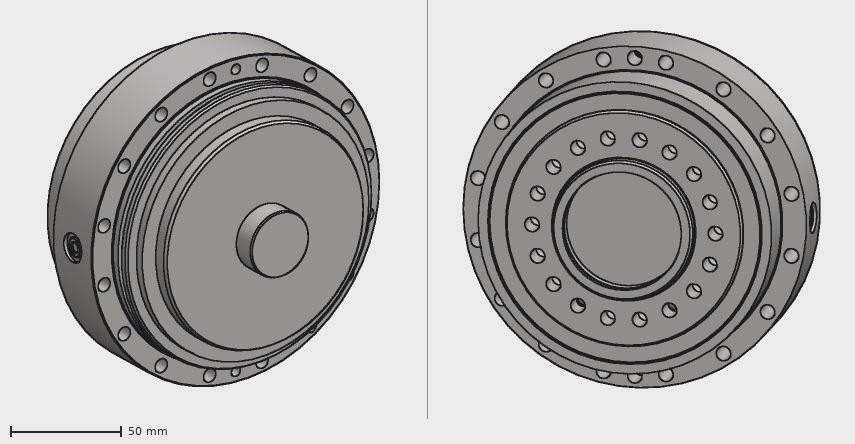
import cadquery as cq
import math

boss_front = -46.7
hub_front = boss_front + 4.0
housing_front = boss_front + 6.4
flange_front = boss_front + 27.8
flange_back = boss_front + 58.2
groove_front = boss_front + 62.5
groove_back = boss_front + 65.2
housing_back = boss_front + 69.2
step_back = boss_front + 73.8
cover_back = boss_front + 81.5
shaft_end = boss_front + 93.5

boss_diameter = 65.0
hub_diameter = 110.0
housing_diameter = 136.0
neck_diameter = 137.0
flange_diameter = 159.0
seal_groove_diameter = 131.5
step_diameter = 125.0
shaft_diameter = 32.0

neck_width = 0.5
hub_chamfer_length = 1.6
hub_chamfer_height = 1.0
housing_chamfer_length = 1.3
housing_chamfer_height = 0.8
flange_chamfer = 0.5
shaft_chamfer_length = 1.0
shaft_chamfer_height = 0.5

bore_diameter = 55.0
bore_depth = 9.0
ring_groove_diameter = 58.0
ring_groove_start = 2.9
ring_groove_width = 1.1

boss_relief_diameter = 66.8
boss_relief_depth = 1.5
face_groove_inner_diameter = 125.3
face_groove_outer_diameter = 126.9
face_groove_depth = 0.5

flange_hole_count = 16
flange_hole_diameter = 6.7
flange_hole_circle = 148.0
jack_hole_diameter = 5.0
jack_counterbore_diameter = 6.7
jack_counterbore_depth = 15.1

hub_hole_count = 18
hub_hole_diameter = 6.7
hub_hole_circle = 84.9
hub_hole_depth = 12.7
drill_point_angle = 118.0
pin_angles = (240.0, 300.0)
pin_diameter = 5.5
pin_circle = 83.6
pin_length = 3.2

port_diameter = 14.0
port_depth = 1.9
plug_diameter = 9.9
plug_height = 1.0
plug_chamfer = 0.6
socket_diameter = 5.0
socket_chamfer = 0.3
socket_depth = 1.0
socket_point_angle = 150.0


def cylinder(x_start, x_end, diameter):
    """Cylinder on the X axis."""
    return cq.Workplane("YZ", origin=(x_start, 0, 0)).circle(diameter / 2).extrude(x_end - x_start)


def ring(x_start, x_end, inner_diameter, outer_diameter):
    """Ring on the X axis."""
    return cylinder(x_start, x_end, outer_diameter).cut(cylinder(x_start, x_end, inner_diameter))


def cone(x_base, x_tip, base_diameter, tip_diameter=0.0):
    """Cone or frustum on the X axis."""
    profile = [(x_base, 0), (x_base, base_diameter / 2), (x_tip, tip_diameter / 2)]
    if tip_diameter > 0:
        profile.append((x_tip, 0))
    return cq.Workplane("XY").polyline(profile).close().revolve(360, (0, 0, 0), (1, 0, 0))


def point_length(diameter, point_angle=drill_point_angle):
    """Axial length of a conical point of the given diameter and full angle."""
    return diameter / 2 / math.tan(math.radians(point_angle / 2))


def on_circle(shape, circle_diameter, angle):
    """Move a shape from the X axis to an angle on a bolt circle, measured from +Y towards +Z."""
    radius = circle_diameter / 2
    a = math.radians(angle)
    return shape.translate((0, radius * math.cos(a), radius * math.sin(a)))


def turned_body():
    boss_radius = boss_diameter / 2
    hub_radius = hub_diameter / 2
    housing_radius = housing_diameter / 2
    neck_radius = neck_diameter / 2
    flange_radius = flange_diameter / 2
    seal_groove_radius = seal_groove_diameter / 2
    step_radius = step_diameter / 2
    shaft_radius = shaft_diameter / 2
    profile = [
        (boss_front, 0),
        (boss_front, boss_radius - hub_chamfer_height),
        (boss_front + hub_chamfer_length, boss_radius),
        (hub_front, boss_radius),
        (hub_front, hub_radius - hub_chamfer_height),
        (hub_front + hub_chamfer_length, hub_radius),
        (housing_front, hub_radius),
        (housing_front, housing_radius),
        (flange_front - neck_width, housing_radius),
        (flange_front - neck_width, neck_radius),
        (flange_front, neck_radius),
        (flange_front, flange_radius),
        (flange_back - flange_chamfer, flange_radius),
        (flange_back, flange_radius - flange_chamfer),
        (flange_back, neck_radius),
        (flange_back + neck_width, neck_radius),
        (flange_back + neck_width, housing_radius),
        (groove_front, housing_radius),
        (groove_front, seal_groove_radius),
        (groove_back, seal_groove_radius),
        (groove_back, housing_radius),
        (housing_back - housing_chamfer_length, housing_radius),
        (housing_back, housing_radius - housing_chamfer_height),
        (housing_back, step_radius),
        (step_back, step_radius),
        (step_back, hub_radius),
        (cover_back - hub_chamfer_length, hub_radius),
        (cover_back, hub_radius - hub_chamfer_height),
        (cover_back, shaft_radius),
        (shaft_end - shaft_chamfer_length, shaft_radius),
        (shaft_end, shaft_radius - shaft_chamfer_height),
        (shaft_end, 0),
    ]
    return cq.Workplane("XY").polyline(profile).close().revolve(360, (0, 0, 0), (1, 0, 0))


def front_bore():
    groove_start = boss_front + ring_groove_start
    bore = cylinder(boss_front, boss_front + bore_depth, bore_diameter)
    return bore.union(cylinder(groove_start, groove_start + ring_groove_width, ring_groove_diameter))


def boss_relief():
    """Countersunk ring where the boss leaves the hub face."""
    bottom = hub_front + boss_relief_depth
    countersink = cone(hub_front, bottom, boss_relief_diameter, boss_diameter)
    return countersink.cut(cylinder(hub_front, bottom, boss_diameter))


def face_groove():
    bottom = housing_front + face_groove_depth
    return ring(housing_front, bottom, face_groove_inner_diameter, face_groove_outer_diameter)


def jack_hole():
    """Through hole with a wider front length."""
    hole = cylinder(flange_front, flange_back, jack_hole_diameter)
    return hole.union(cylinder(flange_front, flange_front + jack_counterbore_depth, jack_counterbore_diameter))


def hub_hole():
    """Blind drilled hole with a conical end."""
    bottom = hub_front + hub_hole_depth
    hole = cylinder(hub_front, bottom, hub_hole_diameter)
    return hole.union(cone(bottom, bottom + point_length(hub_hole_diameter), hub_hole_diameter))


def pointed_pin():
    """Pin with a conical tip, standing in the end of a hub hole."""
    root = hub_front + hub_hole_depth + point_length(hub_hole_diameter)
    shoulder = root - pin_length
    pin = cylinder(shoulder, root, pin_diameter)
    return pin.union(cone(shoulder, shoulder - point_length(pin_diameter), pin_diameter))


def port_plane(distance):
    """Plane facing -Y at the middle of the flange, at a distance from the X axis."""
    return cq.Workplane("XZ", origin=((flange_front + flange_back) / 2, -distance, 0))


def add_port(body):
    """Spotface on the -Y side with a raised, socketed plug on its floor."""
    flange_radius = flange_diameter / 2
    floor = flange_radius - port_depth
    plug_top = floor + plug_height
    spotface = port_plane(floor).circle(port_diameter / 2).extrude(port_depth)
    plug = port_plane(floor).circle(plug_diameter / 2).extrude(plug_height)
    plug = plug.faces("<Y").chamfer(plug_chamfer)
    socket_radius = socket_diameter / 2
    mouth_radius = socket_radius + socket_chamfer
    socket_profile = [
        (0, 0),
        (mouth_radius, 0),
        (socket_radius, socket_chamfer),
        (socket_radius, socket_depth),
        (0, socket_depth + point_length(socket_diameter, socket_point_angle)),
    ]
    socket = port_plane(plug_top).transformed(rotate=(-90, 0, 0)).polyline(socket_profile).close()
    socket = socket.revolve(360, (0, 0, 0), (0, 1, 0))
    return body.cut(spotface).union(plug).cut(socket)


result = turned_body().cut(front_bore()).cut(boss_relief()).cut(face_groove())

for i in range(flange_hole_count):
    through_hole = cylinder(flange_front, flange_back, flange_hole_diameter)
    result = result.cut(on_circle(through_hole, flange_hole_circle, (i + 0.5) * 360 / flange_hole_count))

for angle in (90, 270):
    result = result.cut(on_circle(jack_hole(), flange_hole_circle, angle))

for i in range(hub_hole_count):
    result = result.cut(on_circle(hub_hole(), hub_hole_circle, i * 360 / hub_hole_count))

for angle in pin_angles:
    result = result.union(on_circle(pointed_pin(), pin_circle, angle))

for turn in (0, 180):
    result = add_port(result.rotate((0, 0, 0), (1, 0, 0), turn)).rotate((0, 0, 0), (1, 0, 0), -turn)